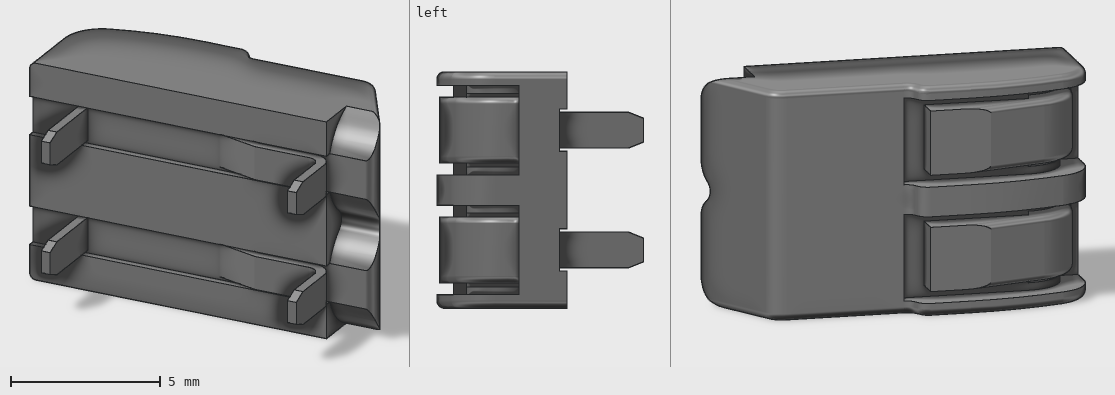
import cadquery as cq
import math

LENGTH = 12.7
HEIGHT = 4.35
WIDTH = 7.9
X_LEFT = -LENGTH / 2
X_RIGHT = LENGTH / 2
EDGE_RADIUS = 0.25

LEFT_CORNER_RADIUS = 1.5
CROWN_RADIUS = 11.3
CROWN_END_X = -1.98
STEP_TOP_X = -0.33
STEP_TOP_RADIUS = 0.45
STEP_BOTTOM_RADIUS = 0.35
DECK_Y = 3.8
DECK_END_X = 4.65
DECK_RADIUS = 0.7
SLOPE_ANGLE = math.radians(60)
TIP_RADIUS = 1.2
TIP_BOTTOM_RADIUS = 0.25

COLLAR_X = 4.76
COLLAR_RADIUS = 2.08
COLLAR_BLEND_RADIUS = 0.44

POLE_Z = (-2.0, 2.0)
SLOT_WIDTH = 1.4
SLOT_DEPTH = 0.25

PIN_THICKNESS = 0.33
PIN_WIDTH = 1.2
PIN_LENGTH = 2.55
PIN_TAPER_LENGTH = 0.5
PIN_TIP_WIDTH = 0.8
LEFT_PIN_X = -4.62
RIGHT_PIN_X = 4.59
STRIP_START_X = 0.65
STRIP_BEND_X = 2.16
STRIP_Y = -0.155
STRIP_BEND_RADIUS = 0.4
STRIP_OUTER_RADIUS = 0.66
ROOT_DEPTH = 0.2

CHANNEL_WIDTH = 2.98
CHANNEL_FLOOR_Y = 1.61
CHANNEL_END_X = 0.2

BUTTON_WIDTH = 2.21
BUTTON_X = -6.0
BUTTON_BOTTOM_Y = 1.58
BUTTON_TOP_Y = 4.26
BUTTON_ARC_START_Y = 1.99
BUTTON_ARC_RADIUS = 1.8
BUTTON_ARC_ANGLE = math.radians(75)
BUTTON_END_X = -0.6
BUTTON_EDGE_RADIUS = 0.22
BUTTON_FOOT_RADIUS = 0.22

SHOULDER_X = -5.6
SHOULDER_THICKNESS = 0.26
SHOULDER_ARC_START_Y = 1.95
SHOULDER_TOP_Y = 3.36


def prism(outline, z_center, width):
    """Extrude a closed XY outline symmetrically about z_center."""
    return outline.extrude(width / 2, both=True).translate((0, 0, z_center))


def box(x0, x1, y0, y1, z_center, width):
    """Block between two corners in XY, centred on z_center."""
    return prism(cq.Workplane("XY").moveTo(x0, y0).lineTo(x1, y0).lineTo(x1, y1).lineTo(x0, y1).close(),
                 z_center, width)


def arc_point(center, radius, angle):
    """Point on a circle, angle measured from +X."""
    return center[0] + radius * math.cos(angle), center[1] + radius * math.sin(angle)


def make_shell():
    """Housing block with its rounded side outline and softened side edges."""
    crown_center = (CROWN_END_X, HEIGHT - CROWN_RADIUS)
    center_gap = CROWN_RADIUS - LEFT_CORNER_RADIUS
    corner_x = X_LEFT + LEFT_CORNER_RADIUS
    joint_angle = math.acos((corner_x - CROWN_END_X) / center_gap)
    corner_center = arc_point(crown_center, center_gap, joint_angle)
    joint = arc_point(crown_center, CROWN_RADIUS, joint_angle)
    corner_mid = arc_point(corner_center, LEFT_CORNER_RADIUS, (joint_angle + math.pi) / 2)
    crown_mid = arc_point(crown_center, CROWN_RADIUS, (joint_angle + math.pi / 2) / 2)

    step_top = (STEP_TOP_X, HEIGHT)
    step_bottom = (STEP_TOP_X + (HEIGHT - DECK_Y) / math.tan(SLOPE_ANGLE), DECK_Y)
    deck_end = (DECK_END_X, DECK_Y)
    tip = (X_RIGHT, DECK_Y - (X_RIGHT - DECK_END_X) * math.tan(SLOPE_ANGLE))
    tip_bottom = (X_RIGHT, SLOT_DEPTH)

    outline = (
        cq.Workplane("XY")
        .moveTo(X_LEFT, 0)
        .lineTo(X_LEFT, corner_center[1])
        .threePointArc(corner_mid, joint)
        .threePointArc(crown_mid, (CROWN_END_X, HEIGHT))
        .lineTo(*step_top)
        .lineTo(*step_bottom)
        .lineTo(*deck_end)
        .lineTo(*tip)
        .lineTo(*tip_bottom)
        .lineTo(COLLAR_X, SLOT_DEPTH)
        .lineTo(COLLAR_X, 0)
        .close()
    )
    shell = prism(outline, 0, WIDTH)
    roundings = (
        (step_top, STEP_TOP_RADIUS),
        (step_bottom, STEP_BOTTOM_RADIUS),
        (deck_end, DECK_RADIUS),
        (tip, TIP_RADIUS),
        (tip_bottom, TIP_BOTTOM_RADIUS),
    )
    for corner, radius in roundings:
        nearest = cq.selectors.NearestToPointSelector((corner[0], corner[1], 0))
        shell = shell.edges("|Z").edges(nearest).fillet(radius)
    for z in (-WIDTH / 2, WIDTH / 2):
        nearest = cq.selectors.NearestToPointSelector((crown_mid[0], crown_mid[1], z))
        shell = shell.edges(nearest).fillet(EDGE_RADIUS)
    return shell


def make_collar_cutter():
    """Material removed under the tip: leaves one round collar per pole, blended at z = 0."""
    half_slot = SLOT_WIDTH / 2
    pole_z = max(POLE_Z)
    center_y = SLOT_DEPTH + math.sqrt(COLLAR_RADIUS**2 - half_slot**2)
    blend_y = center_y - math.sqrt((COLLAR_RADIUS + COLLAR_BLEND_RADIUS) ** 2 - pole_z**2)
    blend_share = COLLAR_BLEND_RADIUS / (COLLAR_RADIUS + COLLAR_BLEND_RADIUS)
    blend_z = pole_z * blend_share
    blend_end_y = blend_y + (center_y - blend_y) * blend_share

    def envelope(z_center):
        return (
            cq.Workplane("YZ", origin=(COLLAR_X, 0, 0))
            .center(center_y, z_center)
            .circle(COLLAR_RADIUS)
            .extrude(LENGTH)
        )

    cutter = box(COLLAR_X, X_RIGHT, 0, center_y, 0, WIDTH)
    blend = (
        cq.Workplane("YZ", origin=(COLLAR_X, 0, 0))
        .moveTo(blend_end_y, -blend_z)
        .threePointArc((blend_y + COLLAR_BLEND_RADIUS, 0), (blend_end_y, blend_z))
        .lineTo(center_y, blend_z)
        .lineTo(center_y, -blend_z)
        .close()
        .extrude(LENGTH)
    )
    for z_center in POLE_Z:
        cutter = cutter.cut(envelope(z_center))
    return cutter.cut(blend)


def taper_pin(pin, x, z_center):
    """Bevel both side edges at the free end of a pin."""
    bevel = (PIN_WIDTH - PIN_TIP_WIDTH) / 2
    for side in (-1, 1):
        z_edge = z_center + side * PIN_WIDTH / 2
        wedge = (
            cq.Workplane("YZ", origin=(x, 0, 0))
            .moveTo(-PIN_LENGTH + PIN_TAPER_LENGTH, z_edge)
            .lineTo(-PIN_LENGTH, z_edge - side * bevel)
            .lineTo(-PIN_LENGTH, z_edge)
            .close()
            .extrude(PIN_THICKNESS)
        )
        pin = pin.cut(wedge)
    return pin


def make_left_pin(z_center):
    """Straight pin rooted in the slot floor."""
    pin = box(LEFT_PIN_X, LEFT_PIN_X + PIN_THICKNESS, -PIN_LENGTH, SLOT_DEPTH + ROOT_DEPTH,
              z_center, PIN_WIDTH)
    return taper_pin(pin, LEFT_PIN_X, z_center)


def make_right_pin(z_center):
    """Strip that slopes out of the slot floor, runs along the base and bends down."""
    bend_x = RIGHT_PIN_X - STRIP_BEND_RADIUS
    bend_y = STRIP_Y - STRIP_BEND_RADIUS
    bend_center = (bend_x, bend_y)
    outer_x = RIGHT_PIN_X + PIN_THICKNESS
    upper_y = STRIP_Y + PIN_THICKNESS
    outer_center = (outer_x - STRIP_OUTER_RADIUS, upper_y - STRIP_OUTER_RADIUS)
    diagonal = math.radians(45)
    outline = (
        cq.Workplane("XY")
        .moveTo(STRIP_START_X, SLOT_DEPTH)
        .lineTo(STRIP_BEND_X, STRIP_Y)
        .lineTo(bend_x, STRIP_Y)
        .threePointArc(arc_point(bend_center, STRIP_BEND_RADIUS, diagonal), (RIGHT_PIN_X, bend_y))
        .lineTo(RIGHT_PIN_X, -PIN_LENGTH)
        .lineTo(outer_x, -PIN_LENGTH)
        .lineTo(outer_x, outer_center[1])
        .threePointArc(arc_point(outer_center, STRIP_OUTER_RADIUS, diagonal), (outer_center[0], upper_y))
        .lineTo(STRIP_BEND_X, upper_y)
        .lineTo(STRIP_START_X, SLOT_DEPTH + PIN_THICKNESS)
        .close()
    )
    return taper_pin(prism(outline, z_center, PIN_WIDTH), RIGHT_PIN_X, z_center)


def make_button(z_center):
    """Push button with a flared foot, a round front, a rising top and softened edges."""
    arc_center = (BUTTON_X + BUTTON_ARC_RADIUS, BUTTON_ARC_START_Y)
    arc_mid = arc_point(arc_center, BUTTON_ARC_RADIUS, math.pi - BUTTON_ARC_ANGLE / 2)
    arc_end = arc_point(arc_center, BUTTON_ARC_RADIUS, math.pi - BUTTON_ARC_ANGLE)
    foot_center = (BUTTON_X - BUTTON_FOOT_RADIUS, BUTTON_BOTTOM_Y + BUTTON_FOOT_RADIUS)
    foot_mid = arc_point(foot_center, BUTTON_FOOT_RADIUS, math.radians(-45))
    ramp_end_x = arc_end[0] + (BUTTON_TOP_Y - arc_end[1]) * math.tan(BUTTON_ARC_ANGLE)
    outline = (
        cq.Workplane("XY")
        .moveTo(foot_center[0], BUTTON_BOTTOM_Y)
        .threePointArc(foot_mid, (BUTTON_X, foot_center[1]))
        .lineTo(BUTTON_X, BUTTON_ARC_START_Y)
        .threePointArc(arc_mid, arc_end)
        .lineTo(ramp_end_x, BUTTON_TOP_Y)
        .lineTo(BUTTON_END_X, BUTTON_TOP_Y)
        .lineTo(BUTTON_END_X, BUTTON_BOTTOM_Y)
        .close()
    )
    button = prism(outline, z_center, BUTTON_WIDTH)
    for side in (-1, 1):
        nearest = cq.selectors.NearestToPointSelector(
            (arc_mid[0], arc_mid[1], z_center + side * BUTTON_WIDTH / 2))
        button = button.edges(nearest).fillet(BUTTON_EDGE_RADIUS)
    return button


def make_shoulders(z_center):
    """Round shoulders along both channel walls, joined by a web set back to their crest."""
    radius = SHOULDER_TOP_Y - SHOULDER_ARC_START_Y
    arc_center = (SHOULDER_X + radius, SHOULDER_ARC_START_Y)
    arc_mid = arc_point(arc_center, radius, math.radians(135))
    shoulders = box(arc_center[0], CHANNEL_END_X, CHANNEL_FLOOR_Y, SHOULDER_TOP_Y, z_center, CHANNEL_WIDTH)
    for side in (-1, 1):
        outline = (
            cq.Workplane("XY")
            .moveTo(SHOULDER_X, CHANNEL_FLOOR_Y)
            .lineTo(SHOULDER_X, SHOULDER_ARC_START_Y)
            .threePointArc(arc_mid, (arc_center[0], SHOULDER_TOP_Y))
            .lineTo(CHANNEL_END_X, SHOULDER_TOP_Y)
            .lineTo(CHANNEL_END_X, CHANNEL_FLOOR_Y)
            .close()
        )
        shoulder_z = z_center + side * (CHANNEL_WIDTH - SHOULDER_THICKNESS) / 2
        shoulders = shoulders.union(prism(outline, shoulder_z, SHOULDER_THICKNESS))
    return shoulders


result = make_shell().cut(make_collar_cutter())
for pole_z in POLE_Z:
    result = result.cut(box(X_LEFT, X_RIGHT, 0, SLOT_DEPTH, pole_z, SLOT_WIDTH))
    result = result.cut(box(X_LEFT, CHANNEL_END_X, CHANNEL_FLOOR_Y, HEIGHT, pole_z, CHANNEL_WIDTH))
    result = result.union(make_shoulders(pole_z))
    result = result.union(make_button(pole_z))
    result = result.union(make_left_pin(pole_z))
    result = result.union(make_right_pin(pole_z))